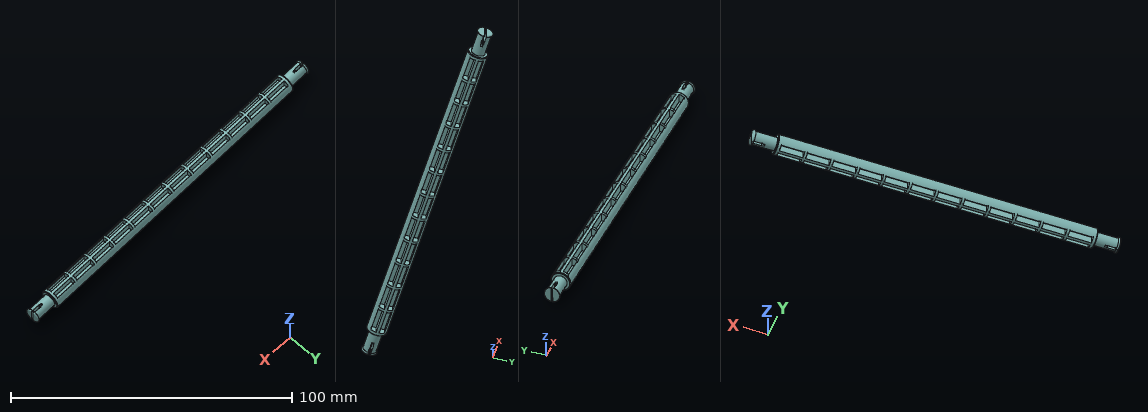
import cadquery as cq

total_length = 140.0
body_length = 121.8
body_diameter = 7.5
body_end_chamfer = 0.3

journal_diameter = 5.0
bead_radius = 0.4

slit_width = 0.7
slit_length = 5.0
window_width = 1.0
window_length = 3.1
window_end_distance = 1.0

pocket_count = 12
pocket_length = 9.0
pocket_width = 2.0
pocket_end_wall = 1.4
web_thickness = 1.1
pocket_floor_height = 0.5


def x_cylinder(diameter, length):
    """Cylinder along X, centred on the origin."""
    start = (-length / 2, 0, 0)
    return cq.Workplane("YZ", origin=start).circle(diameter / 2).extrude(length)


def make_shaft():
    body = x_cylinder(body_diameter, body_length).edges().chamfer(body_end_chamfer)
    return body.union(x_cylinder(journal_diameter, total_length))


def make_bead(side):
    """Ring of round section on the journal surface, flush with the journal end."""
    centre_x = side * (total_length / 2 - bead_radius)
    return (
        cq.Workplane("XY")
        .center(centre_x, journal_diameter / 2)
        .circle(bead_radius)
        .revolve(360, (0, -journal_diameter / 2, 0), (1, -journal_diameter / 2, 0))
    )


def make_slit(side):
    """Cutter along Z for the slit and its window at one journal end."""
    slit_x = side * (total_length - slit_length) / 2
    window_x = side * (total_length / 2 - window_end_distance - window_length / 2)
    slit = cq.Workplane("XY").box(slit_length, slit_width, body_diameter)
    window = cq.Workplane("XY").box(window_length, window_width, body_diameter)
    return slit.translate((slit_x, 0, 0)).union(window.translate((window_x, 0, 0)))


def make_pockets(side):
    """Cutter for the two pocket rows on the top (side 1) or bottom (side -1)."""
    rows_length = body_length - 2 * pocket_end_wall
    pocket_pitch = (rows_length - pocket_length) / (pocket_count - 1)
    row_spacing = web_thickness + pocket_width
    pocket_height = body_diameter / 2 - pocket_floor_height
    centre_z = side * (pocket_floor_height + pocket_height / 2)
    return (
        cq.Workplane("XY", origin=(0, 0, centre_z))
        .rarray(pocket_pitch, row_spacing, pocket_count, 2)
        .box(pocket_length, pocket_width, pocket_height)
    )


result = make_shaft()
for side in (-1, 1):
    result = result.union(make_bead(side))
    result = result.cut(make_slit(side))
    result = result.cut(make_pockets(side))